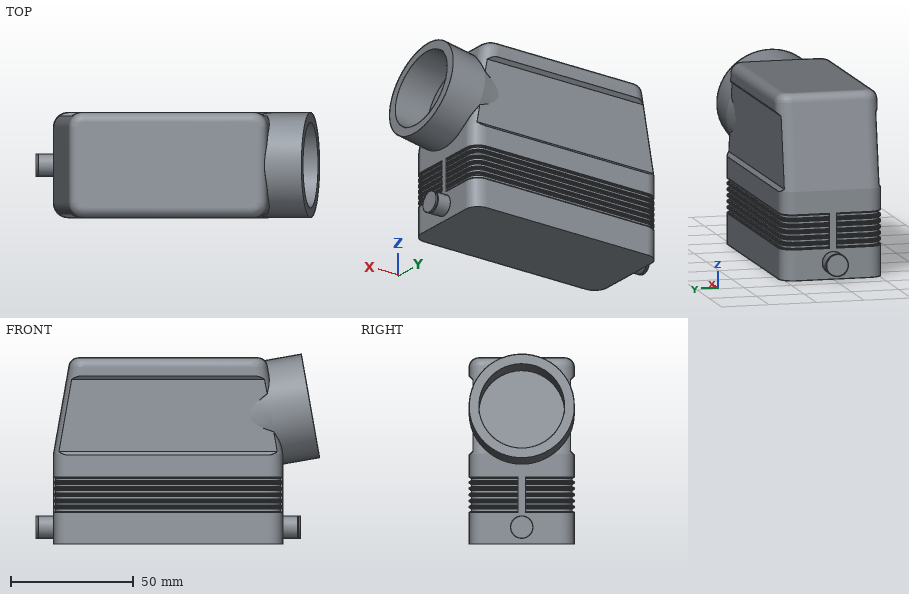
import cadquery as cq
import math

body_length = 93.5
body_width = 43.0
body_height = 76.1
lean_start = 36.8
lean_angle = 10.0
corner_radius = 6.0
top_radius = 4.0

recess_depth = 1.5
recess_bottom = 36.4
recess_top = 68.7

groove_count = 6
grip_height = 12.5
groove_width = 2.1
groove_depth = 0.9
groove_lip_radius = 0.2
groove_corner_radius = 0.3
groove_pitch = grip_height / (groove_count - 1)
lowest_groove_height = 13.9
grip_gap = 2.9

pin_diameter = 9.1
pin_height = 7.0
pin_span = 107.9
pin_groove_offset = 0.8
pin_groove_width = 0.3
pin_groove_depth = 0.06

collar_diameter = 43.0
collar_bore_diameter = 35.0
collar_length = 16.4
collar_root_length = 13.9
collar_root_taper = 10.0
collar_top = 77.6
overall_length = 115.8

lean = math.radians(lean_angle)
half_length = body_length / 2
half_width = body_width / 2


def hood_body():
    top_half_length = half_length - (body_height - lean_start) * math.tan(lean)
    profile = [
        (-half_length, 0),
        (half_length, 0),
        (half_length, lean_start),
        (top_half_length, body_height),
        (-top_half_length, body_height),
        (-half_length, lean_start),
    ]
    block = cq.Workplane("XZ").polyline(profile).close().extrude(half_width, both=True)
    rounded = block.edges("not(#Z or |Y)").fillet(corner_radius)
    return rounded.faces(">Z").edges().fillet(top_radius)


def side_recess(side):
    outer = side * half_width
    inner = side * (half_width - recess_depth)
    profile = [
        (outer, recess_bottom),
        (inner, recess_bottom + recess_depth),
        (inner, recess_top - recess_depth),
        (outer, recess_top),
    ]
    return cq.Workplane("YZ").polyline(profile).close().extrude(half_length, both=True)


def groove_profile():
    """Groove section centred on height zero, in the front face of the body."""
    surface = -half_width
    half_opening = groove_width / 2
    half_throat = half_opening - groove_lip_radius
    half_floor = half_throat - groove_corner_radius
    lip_end = surface + groove_lip_radius
    floor = surface + groove_depth
    corner_start = floor - groove_corner_radius
    return (
        cq.Workplane("YZ")
        .moveTo(surface, half_opening)
        .radiusArc((lip_end, half_throat), groove_lip_radius)
        .lineTo(corner_start, half_throat)
        .radiusArc((floor, half_floor), -groove_corner_radius)
        .lineTo(floor, -half_floor)
        .radiusArc((corner_start, -half_throat), -groove_corner_radius)
        .lineTo(lip_end, -half_throat)
        .radiusArc((surface, -half_opening), groove_lip_radius)
        .close()
    )


def grip_groove():
    """Lowest groove, swept once around the rounded outline of the body."""
    block = cq.Workplane("XY").rect(body_length, body_width).extrude(groove_width)
    path = block.edges("|Z").fillet(corner_radius).faces("<Z").wires()
    ring = groove_profile().sweep(path)
    gap = cq.Workplane("XY").box(body_length, grip_gap, groove_width)
    return ring.cut(gap).translate((0, 0, lowest_groove_height))


def locking_pin(side):
    pin_radius = pin_diameter / 2
    pin_reach = pin_span / 2
    pin = cq.Workplane("YZ").circle(pin_radius).extrude(side * pin_reach)
    groove = (
        cq.Workplane("YZ", origin=(side * (pin_reach - pin_groove_offset), 0, 0))
        .circle(pin_radius)
        .circle(pin_radius - pin_groove_depth)
        .extrude(-side * pin_groove_width)
    )
    return pin.cut(groove).translate((0, 0, pin_height))


def collar_mouth():
    """Plane on the collar's open face, looking out along the collar axis."""
    collar_radius = collar_diameter / 2
    mouth_x = overall_length - pin_span / 2 - collar_radius * math.sin(lean)
    mouth_z = collar_top - collar_radius * math.cos(lean)
    return cq.Plane(
        origin=(mouth_x, 0, mouth_z),
        xDir=(0, 1, 0),
        normal=(math.cos(lean), 0, math.sin(lean)),
    )


def collar():
    sleeve = cq.Workplane(collar_mouth()).circle(collar_diameter / 2).extrude(-collar_length)
    root = (
        cq.Workplane(collar_mouth())
        .workplane(offset=-collar_length)
        .circle(collar_diameter / 2)
        .extrude(-collar_root_length, taper=collar_root_taper)
    )
    return sleeve.union(root)


def collar_bore():
    return cq.Workplane(collar_mouth()).circle(collar_bore_diameter / 2).extrude(-collar_length)


result = hood_body()
for side in (-1, 1):
    result = result.cut(side_recess(side))
lowest_groove = grip_groove()
for index in range(groove_count):
    result = result.cut(lowest_groove.translate((0, 0, index * groove_pitch)))
for side in (-1, 1):
    result = result.union(locking_pin(side))
result = result.union(collar()).cut(collar_bore())